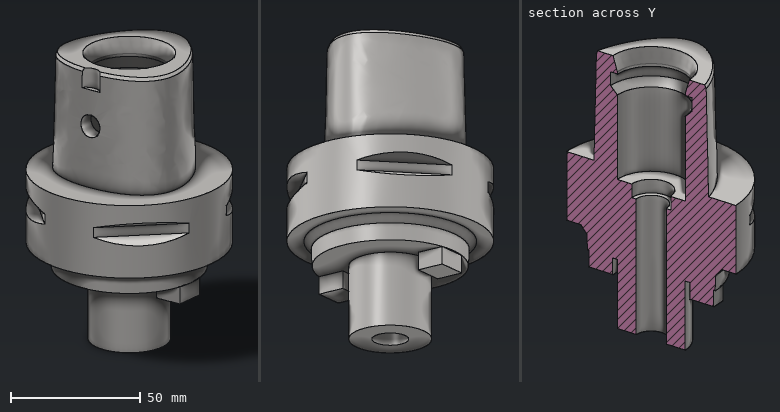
import cadquery as cq
import math

total_height = 118.0
flange_top = 70.0
flange_bottom = 40.0
cone_bottom = 36.8
collar_bottom = 30.0
key_bottom = 22.8

flange_radius = 40.0
cone_top_radius = 33.4
collar_top_radius = 30.6
collar_bottom_radius = 30.2
pilot_radius = 16.0

shank_base_radius = 27.6
shank_lobe = 2.1
shank_taper = 1 / 40
curve_points = 36
edge_height = 1.4
edge_inset = 0.7

mouth_radius = 17.9
throat_radius = 15.9
mouth_bottom = 111.6
lip_bottom = 110.5
groove_radius = 19.1
groove_cone_top = 104.7
groove_bottom = 101.5
bore_floor = 64.9
counterbore_radius = 9.1
counterbore_depth = 5.9
through_radius = 7.1

notch_radius = 5.5
notch_center_y = -27.6
notch_bottom = 110.0
pocket_radius = 4.6
pocket_height = 95.1
pocket_floor_y = -18.3

groove_count = 4
groove_height = 57.9
groove_floor_distance = 35.4
groove_floor_width = 4.0
groove_side_angle = 30.0

key_inner_x = 18.0
key_outer_x = 29.5
key_width = 12.7


def lobed_wire(mean_radius, height):
    """Closed three-lobed curve with one lobe pointing along +Y."""
    points = []
    for index in range(curve_points):
        angle = 2 * math.pi * index / curve_points
        x = -mean_radius * math.sin(angle) + shank_lobe * math.sin(2 * angle)
        y = mean_radius * math.cos(angle) + shank_lobe * math.cos(2 * angle)
        points.append(cq.Vector(x, y, height))
    return cq.Wire.assembleEdges([cq.Edge.makeSpline(points, periodic=True)])


def lobed_frustum(bottom_radius, bottom, top_radius, top):
    wires = [lobed_wire(bottom_radius, bottom), lobed_wire(top_radius, top)]
    return cq.Workplane(cq.Solid.makeLoft(wires, True))


def revolved(points):
    return cq.Workplane("XZ").polyline(points).close().revolve(360, (0, 0, 0), (0, 1, 0))


def make_shank():
    edge_bottom = total_height - edge_height
    edge_radius = shank_base_radius - shank_taper * (edge_bottom - flange_top)
    taper = lobed_frustum(shank_base_radius, flange_top, edge_radius, edge_bottom)
    edge = lobed_frustum(edge_radius, edge_bottom, edge_radius - edge_inset, total_height)
    return taper.union(edge)


def make_turned_body():
    return revolved([
        (0, 0),
        (pilot_radius, 0),
        (pilot_radius, collar_bottom),
        (collar_bottom_radius, collar_bottom),
        (collar_top_radius, cone_bottom),
        (cone_top_radius, flange_bottom),
        (flange_radius, flange_bottom),
        (flange_radius, flange_top),
        (0, flange_top),
    ])


def make_bore():
    counterbore_floor = bore_floor - counterbore_depth
    return revolved([
        (0, 0),
        (through_radius, 0),
        (through_radius, counterbore_floor),
        (counterbore_radius, counterbore_floor),
        (counterbore_radius, bore_floor),
        (throat_radius, bore_floor),
        (throat_radius, groove_bottom),
        (groove_radius, groove_cone_top),
        (groove_radius, lip_bottom),
        (throat_radius, lip_bottom),
        (throat_radius, mouth_bottom),
        (mouth_radius, total_height),
        (0, total_height),
    ])


def make_notch():
    return (
        cq.Workplane("XY", origin=(0, notch_center_y, notch_bottom))
        .circle(notch_radius)
        .extrude(total_height - notch_bottom)
    )


def make_pocket():
    return (
        cq.Workplane("XZ", origin=(0, pocket_floor_y, pocket_height))
        .circle(pocket_radius)
        .extrude(flange_radius)
    )


def make_gripper_groove(angle):
    """Straight trapezoidal groove, widening outwards, across one flange side."""
    depth = flange_radius - groove_floor_distance
    floor_half = groove_floor_width / 2
    mouth_half = floor_half + depth * math.tan(math.radians(groove_side_angle))
    return (
        cq.Workplane("XZ", origin=(0, 0, groove_height))
        .moveTo(groove_floor_distance, -floor_half)
        .lineTo(flange_radius, -mouth_half)
        .lineTo(flange_radius, mouth_half)
        .lineTo(groove_floor_distance, floor_half)
        .close()
        .extrude(flange_radius, both=True)
        .rotate((0, 0, 0), (0, 0, 1), angle)
    )


def make_key(side):
    return (
        cq.Workplane("XY", origin=(0, 0, key_bottom))
        .center(side * (key_inner_x + key_outer_x) / 2, 0)
        .rect(key_outer_x - key_inner_x, key_width)
        .extrude(collar_bottom - key_bottom)
    )


result = make_turned_body().union(make_shank())
for side in (-1, 1):
    result = result.union(make_key(side))
result = result.cut(make_bore()).cut(make_notch()).cut(make_pocket())
for index in range(groove_count):
    result = result.cut(make_gripper_groove((index + 0.5) * 360 / groove_count))